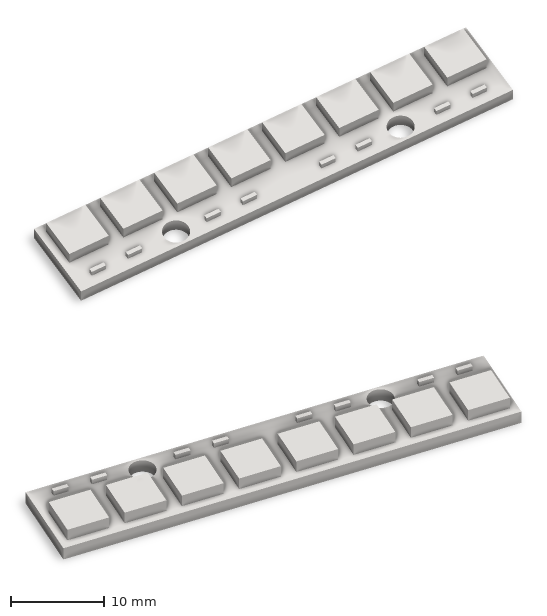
import cadquery as cq

board_width = 9.9
board_length = 53.7
board_thickness = 1.6
total_height = 3.1

led_count = 8
led_size = 4.9
led_height = total_height - board_thickness
led_pitch = board_length / led_count
led_row_x = -1.5

chip_width = 0.5
chip_length = 1.75
chip_height = 0.65
chip_row_x = 3.45
chip_pair_count = 4
chip_pair_pitch = 14.3
chip_spacing_in_pair = 4.5
chip_row_center_y = -0.2

hole_diameter = 3.0
hole_x = 3.1
hole_spacing = 27.9


def evenly_spaced(count, pitch, center=0.0):
    """Positions of `count` items at `pitch`, balanced about `center`."""
    return [center + (i - (count - 1) / 2) * pitch for i in range(count)]


def make_blocks(width, length, height, points):
    """Boxes standing on the top face of the board, centred on the points."""
    return (
        cq.Workplane("XY")
        .workplane(offset=board_thickness)
        .pushPoints(points)
        .rect(width, length)
        .extrude(height)
    )


def make_board():
    hole_points = [(hole_x, y) for y in evenly_spaced(2, hole_spacing)]
    return (
        cq.Workplane("XY")
        .box(board_width, board_length, board_thickness, centered=(True, True, False))
        .faces(">Z")
        .workplane(origin=(0, 0, board_thickness))
        .pushPoints(hole_points)
        .hole(hole_diameter)
    )


def make_leds():
    points = [(led_row_x, y) for y in evenly_spaced(led_count, led_pitch)]
    return make_blocks(led_size, led_size, led_height, points)


def make_chips():
    points = []
    for pair_y in evenly_spaced(chip_pair_count, chip_pair_pitch, chip_row_center_y):
        for y in evenly_spaced(2, chip_spacing_in_pair, pair_y):
            points.append((chip_row_x, y))
    return make_blocks(chip_width, chip_length, chip_height, points)


result = make_board().union(make_leds()).union(make_chips())